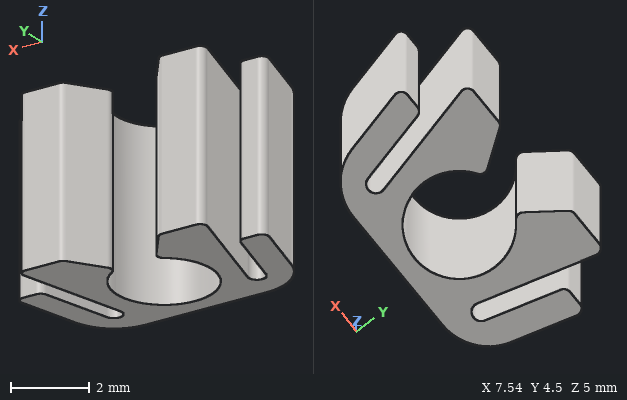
import cadquery as cq
import math

height = 5.0
jaw_top = 4.5
wing_top = 3.115
half_width = 3.77

tip_radius = 0.2
base_radius = 1.5

bore_radius = 1.45
bore_y = 2.0
mouth_half_width = 1.47
mouth_angle = 36.0

lean_angle = 15.0
slot_radius = 0.25
slot_end_x = 2.18
slot_end_y = 1.0

lean = math.tan(math.radians(lean_angle))
lean_cos = math.cos(math.radians(lean_angle))
mouth_slope = math.tan(math.radians(mouth_angle))

tip_x = half_width - tip_radius
tip_y = wing_top - tip_radius
base_corner_x = tip_x + tip_radius / lean_cos - tip_y * lean
slot_half_width = slot_radius / lean_cos


def outer_x(y):
    """Half width of the leaning outer side at height y."""
    return base_corner_x + y * lean


def slot_x(y):
    """Distance of the slot centre line from the middle plane at height y."""
    return slot_end_x + (y - slot_end_y) * lean


def mouth_x(y):
    """Half width of the flared mouth at height y."""
    return mouth_half_width - (jaw_top - y) * mouth_slope


def lip_centre():
    """Centre of the lip rounding, tangent to the right mouth flank and to the bore."""
    flank_offset = tip_radius / math.cos(math.radians(mouth_angle))
    x_at_bore_centre = mouth_x(bore_y) + flank_offset
    a = 1 + mouth_slope**2
    b = x_at_bore_centre * mouth_slope
    c = x_at_bore_centre**2 - (bore_radius + tip_radius) ** 2
    rise = (-b + math.sqrt(b**2 - a * c)) / a
    y = bore_y + rise
    return mouth_x(y) + flank_offset, y


def half_body():
    """Right half of the clip before boring, rounded only at the slot end and the lip."""
    lip_x, lip_y = lip_centre()
    flank_angle = math.radians(mouth_angle)
    lip_start = (lip_x - tip_radius * math.cos(flank_angle), lip_y + tip_radius * math.sin(flank_angle))
    lip_middle = (lip_x - tip_radius, lip_y)
    bore_share = bore_radius / (bore_radius + tip_radius)
    lip_end = (lip_x * bore_share, bore_y + (lip_y - bore_y) * bore_share)
    slot_inner_end = (slot_end_x - slot_radius * lean_cos, slot_end_y + slot_radius * lean * lean_cos)
    slot_outer_end = (slot_end_x + slot_radius * lean_cos, slot_end_y - slot_radius * lean * lean_cos)
    slot_bottom = (slot_end_x - slot_radius * lean * lean_cos, slot_end_y - slot_radius * lean_cos)
    return (
        cq.Workplane("XY")
        .lineTo(base_corner_x, 0)
        .lineTo(outer_x(wing_top), wing_top)
        .lineTo(slot_x(wing_top) + slot_half_width, wing_top)
        .lineTo(*slot_outer_end)
        .threePointArc(slot_bottom, slot_inner_end)
        .lineTo(slot_x(jaw_top) - slot_half_width, jaw_top)
        .lineTo(mouth_half_width, jaw_top)
        .lineTo(*lip_start)
        .threePointArc(lip_middle, lip_end)
        .lineTo(0, bore_y)
        .close()
        .extrude(height)
    )


def round_corner(body, x, y, radius):
    """Round the upright edge at (x, y)."""
    edge = cq.selectors.NearestToPointSelector((x, y, height / 2))
    return body.edges("|Z").edges(edge).fillet(radius)


tip_corners = [
    (outer_x(wing_top), wing_top),
    (slot_x(wing_top) + slot_half_width, wing_top),
    (slot_x(jaw_top) - slot_half_width, jaw_top),
    (mouth_half_width, jaw_top),
]

right_half = round_corner(half_body(), base_corner_x, 0, base_radius)
for corner in tip_corners:
    right_half = round_corner(right_half, *corner, tip_radius)

bore = cq.Workplane("XY").center(0, bore_y).circle(bore_radius).extrude(height)
result = right_half.union(right_half.mirror("YZ")).cut(bore, clean=False)